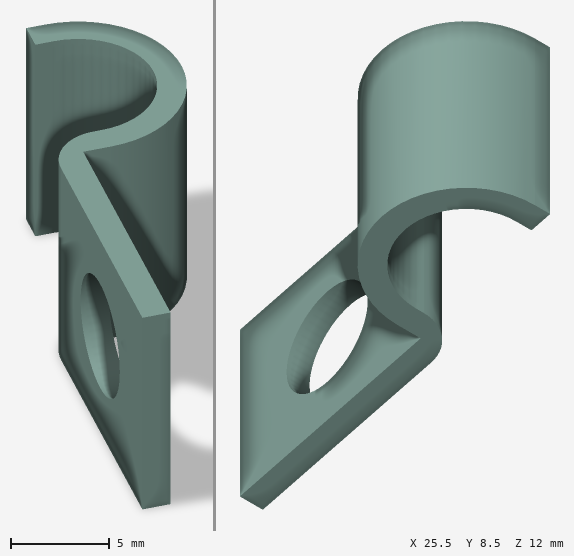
import cadquery as cq
import math

thickness = 1.5
width = 12.0
length = 25.5
loop_inner_radius = 4.0
free_leg = 1.0
neck = 0.5
plate_drop = 3.0
hole_diameter = 6.5
hole_from_end = 7.0

loop_outer_radius = loop_inner_radius + thickness
plate_bottom = -plate_drop
plate_top = plate_bottom + thickness
plate_end = length - loop_outer_radius
bend_radius = plate_drop - neck
bend_end = loop_inner_radius + bend_radius
bend_mid_reach = bend_radius * math.sqrt(0.5)
bend_mid = (bend_end - bend_mid_reach, -neck - bend_mid_reach)
hole_x = plate_end - hole_from_end


def make_strip():
    """Bent strip: open loop, neck, bend and flat mounting plate."""
    return (
        cq.Workplane("XY")
        .moveTo(-loop_outer_radius, -free_leg)
        .lineTo(-loop_outer_radius, 0)
        .threePointArc((0, loop_outer_radius), (loop_outer_radius, 0))
        .lineTo(loop_outer_radius, plate_top)
        .lineTo(plate_end, plate_top)
        .lineTo(plate_end, plate_bottom)
        .lineTo(bend_end, plate_bottom)
        .threePointArc(bend_mid, (loop_inner_radius, -neck))
        .lineTo(loop_inner_radius, 0)
        .threePointArc((0, loop_inner_radius), (-loop_inner_radius, 0))
        .lineTo(-loop_inner_radius, -free_leg)
        .close()
        .extrude(width)
    )


def make_screw_hole():
    """Cylinder through the plate along Y, centred across the width."""
    return (
        cq.Workplane("XZ", origin=(hole_x, plate_top, width / 2))
        .circle(hole_diameter / 2)
        .extrude(thickness)
    )


result = make_strip().cut(make_screw_hole())